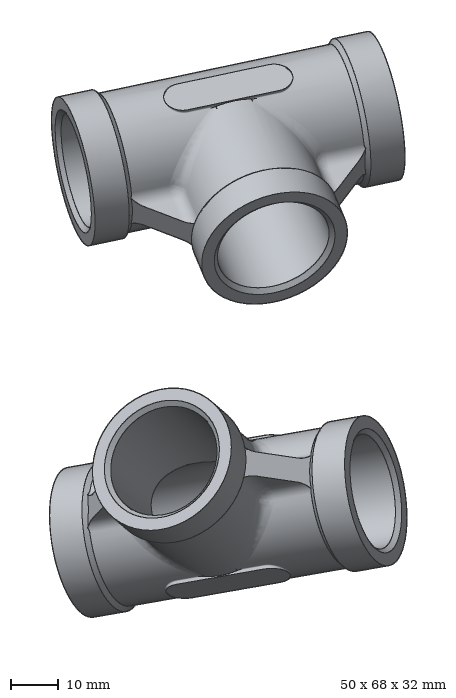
import cadquery as cq
import math

body_length = 68.0
branch_reach = body_length / 2
tube_radius = 15.0
collar_radius = 16.0
collar_length = 7.5
cone_length = 1.0
bore_radius = 12.25
bore_chamfer = 1.0

rib_thickness = 5.5
blend_radius = 3.0

plate_length = 28.0
plate_width = 8.0
plate_height = 15.25
plate_fillet = 0.2

collar_start = branch_reach - collar_length
tube_end = collar_start - cone_length
rib_reach = tube_end + tube_radius
plate_overlap = 0.1
blend_start = plate_width / 2 - plate_overlap


def revolved_about_x(profile):
    """Revolve a closed (x, radius) profile about the X axis."""
    return cq.Workplane("XY").polyline(profile).close().revolve(360, (0, 0, 0), (1, 0, 0))


def arm_body():
    """Solid arm along +X: plain tube, short cone and end collar."""
    return revolved_about_x([
        (0, 0),
        (0, tube_radius),
        (tube_end, tube_radius),
        (collar_start, collar_radius),
        (branch_reach, collar_radius),
        (branch_reach, 0),
    ])


def arm_bore():
    """Bore along +X from the centre, chamfered at its mouth."""
    return revolved_about_x([
        (0, 0),
        (0, bore_radius),
        (branch_reach - bore_chamfer, bore_radius),
        (branch_reach, bore_radius + bore_chamfer),
        (branch_reach, 0),
    ])


def tee(arm):
    """Join an arm built along +X with copies of it along +Y and -Y."""
    run_back = arm.rotate((0, 0, 0), (0, 0, 1), 90)
    run_front = arm.rotate((0, 0, 0), (0, 0, 1), -90)
    return run_back.union(run_front).union(arm)


def blended_corner():
    """Upper half of the +X +Y corner: tubes, rib and the blends between them."""
    half_rib = rib_thickness / 2
    branch = cq.Workplane("YZ").circle(tube_radius).extrude(branch_reach)
    run = cq.Workplane("ZX").circle(tube_radius).extrude(branch_reach)
    rib = cq.Workplane("XY").rect(branch_reach, branch_reach, centered=False).extrude(half_rib)
    window = (
        cq.Workplane("XY", origin=(blend_start, blend_start, 0))
        .rect(branch_reach, branch_reach, centered=False)
        .extrude(collar_radius)
    )
    sharp = run.union(branch).union(rib).intersect(window)

    offset = math.sqrt(tube_radius**2 - half_rib**2)
    meeting_point = cq.Vertex.makeVertex(offset, offset, half_rib)
    touching = 0.01
    edges = [edge for edge in sharp.edges().vals() if edge.distance(meeting_point) < touching]
    blended = sharp.newObject(edges).fillet(blend_radius)

    slope_limit = (
        cq.Workplane("XY")
        .polyline([(0, 0), (rib_reach, 0), (0, rib_reach)])
        .close()
        .extrude(collar_radius)
    )
    return blended.intersect(slope_limit)


def plated_run():
    """Upper half of the run tube with the round-ended name plate filleted onto it."""
    half_tube = (
        cq.Workplane("XZ")
        .moveTo(-tube_radius, 0)
        .threePointArc((0, tube_radius), (tube_radius, 0))
        .close()
        .extrude(tube_end, both=True)
    )
    plate = cq.Workplane("XY").slot2D(plate_length, plate_width, 90).extrude(plate_height)
    plated = half_tube.union(plate)

    foot_box = cq.selectors.BoxSelector(
        (-plate_width, -plate_length, tube_radius / 2),
        (plate_width, plate_length, tube_radius),
    )
    foot = plated.edges(foot_box).edges("not |Z")
    return foot.fillet(plate_fillet)


upper_corner = blended_corner()
corner = upper_corner.union(upper_corner.mirror("XY"))

body = tee(arm_body())
body = body.union(corner).union(corner.mirror("XZ"))
upper_run = plated_run()
body = body.union(upper_run).union(upper_run.mirror("XY"))
result = body.cut(tee(arm_bore()))